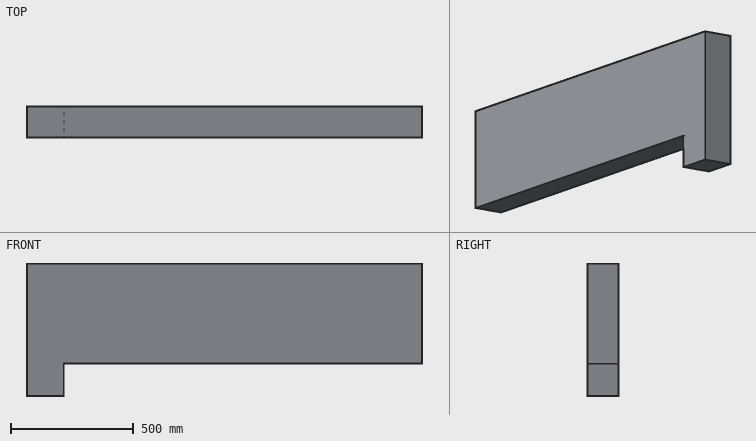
import cadquery as cq

length = 1613.0
thickness = 127.0
height = 540.0

leg_width = 152.0
leg_drop = 132.0

profile = (
    cq.Workplane("XZ")
    .moveTo(0, 0)
    .lineTo(leg_width, 0)
    .lineTo(leg_width, leg_drop)
    .lineTo(length, leg_drop)
    .lineTo(length, height)
    .lineTo(0, height)
    .close()
)

result = profile.extrude(-thickness)